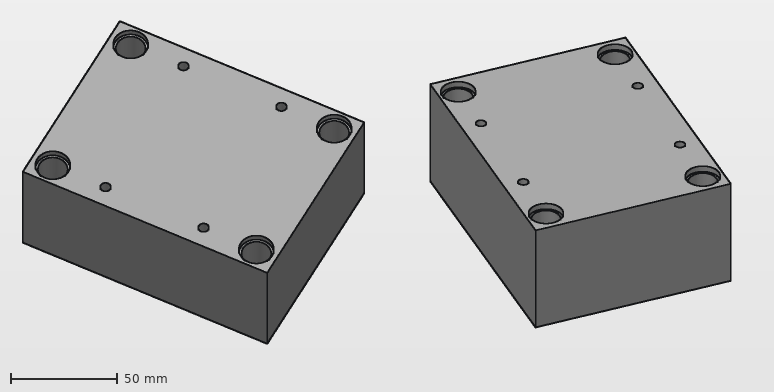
import cadquery as cq
import math

LENGTH = 129.7
WIDTH = 99.7
HEIGHT = 56.0

ROW_SPACING_Y = 80.0

CORNER_SPACING_X = 108.0
THROUGH_DIAMETER = 14.0
COUNTERBORE_DIAMETER = 16.5
COUNTERBORE_DEPTH = 3.2

DRILLED_SPACING_X = 52.0
DRILLED_DIAMETER = 5.0
DRILLED_DEPTH = 12.0
DRILL_POINT_ANGLE = 118.0


def make_block():
    """Plain block centred in X and Y, with its base at Z = 0."""
    return cq.Workplane("XY").box(LENGTH, WIDTH, HEIGHT, centered=(True, True, False))


def hole_centres(spacing_x):
    """Four centres on the top face, symmetric about its middle."""
    top_plane = cq.Workplane("XY", origin=(0, 0, HEIGHT))
    return top_plane.rect(spacing_x, ROW_SPACING_Y, forConstruction=True).vertices()


def corner_hole_cutters():
    """Through bores with the wider counterbores above them."""
    centres = hole_centres(CORNER_SPACING_X)
    bores = centres.circle(THROUGH_DIAMETER / 2).extrude(-HEIGHT)
    counterbores = centres.circle(COUNTERBORE_DIAMETER / 2).extrude(-COUNTERBORE_DEPTH)
    return bores.union(counterbores)


def drilled_hole_cutters():
    """Cylinders that end in a drill point, revolved from half a profile."""
    radius = DRILLED_DIAMETER / 2
    point_length = radius / math.tan(math.radians(DRILL_POINT_ANGLE / 2))
    drill = (
        cq.Workplane("XZ")
        .lineTo(radius, 0)
        .lineTo(radius, -DRILLED_DEPTH)
        .lineTo(0, -DRILLED_DEPTH - point_length)
        .close()
        .revolve(360, (0, 0), (0, 1))
        .val()
    )
    return hole_centres(DRILLED_SPACING_X).eachpoint(drill, useLocalCoordinates=True)


result = make_block().cut(corner_hole_cutters()).cut(drilled_hole_cutters())